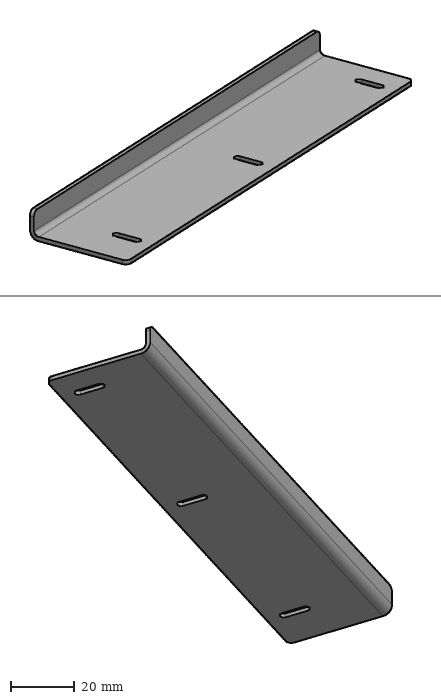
import cadquery as cq

width = 37.0
length = 165.0
height = 10.0

thickness = 1.57
outer_bend_radius = 3.3
inner_bend_radius = outer_bend_radius - thickness
corner_radius = 2.0

slot_length = 10.4
slot_width = 2.5
slot_count = 3
slot_pitch = 70.0
slot_to_free_edge = 10.0
slot_to_back_end = 10.0


def bent_sheet():
    """L-shaped sheet: base plate with an upturned flange along the -X side."""
    profile = (
        cq.Workplane("XZ")
        .moveTo(width, 0)
        .lineTo(width, thickness)
        .lineTo(outer_bend_radius, thickness)
        .radiusArc((thickness, outer_bend_radius), inner_bend_radius)
        .lineTo(thickness, height)
        .lineTo(0, height)
        .lineTo(0, outer_bend_radius)
        .radiusArc((outer_bend_radius, 0), -outer_bend_radius)
        .close()
    )
    return profile.extrude(length / 2, both=True)


def round_corners(body):
    """Round the free corners of the base plate and of the flange."""
    body = body.faces(">X").edges("|Z").fillet(corner_radius)
    return body.faces(">Z").edges("|X").fillet(corner_radius)


def slots():
    """Through slots lying along X, spaced along the length."""
    slot_x = width - slot_to_free_edge
    back_slot_y = length / 2 - slot_to_back_end
    centers = [(slot_x, back_slot_y - i * slot_pitch) for i in range(slot_count)]
    return (
        cq.Workplane("XY")
        .pushPoints(centers)
        .slot2D(slot_length, slot_width)
        .extrude(thickness)
    )


result = round_corners(bent_sheet()).cut(slots())